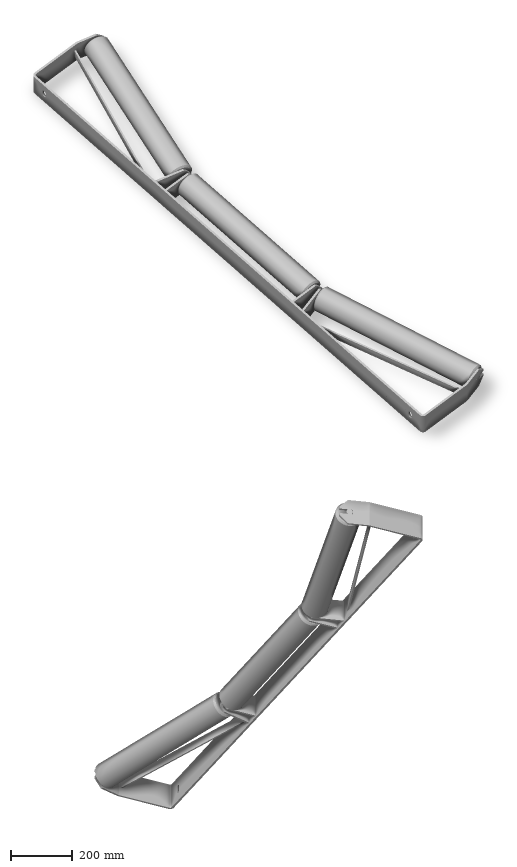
import cadquery as cq
import math


frame_length = 1890.0
strip_width = 89.0
sheet = 8.0
bend_radius = 13.0
tip_above_axis = 34.0
tip_chamfer = 28.0

trough_angle = 15.0
roller_diameter = 89.0
roller_length = 601.0
rim_chamfer = 5.0
end_gap = 2.8
shaft_diameter = 20.0
shaft_flats = 17.0
center_axis_y = 98.0
side_center_x = 627.0
side_center_y = 181.0

bracket_width = 75.0
bracket_top_y = 127.0
bracket_bend_radius = 10.0
bracket_chamfer = 19.0

brace_width = 30.0
brace_sheet = 5.0
brace_arm_y = 189.0
brace_foot_x = 391.0

mount_slot_x = 885.0
mount_slot_width = 17.0
mount_slot_height = 28.0

half_length = frame_length / 2
sine = math.sin(math.radians(trough_angle))
cosine = math.cos(math.radians(trough_angle))
seat_face = roller_length / 2 + end_gap
shaft_half = seat_face + sheet
shaft_radius = shaft_diameter / 2
seat_cut_length = 19.0
seat_cut_height = 95.0


def side_point(along, across):
    """Point given along and across the axis of the +X roller, measured from its middle."""
    x = side_center_x + along * cosine - across * sine
    y = side_center_y + along * sine + across * cosine
    return (x, y)


def mirrored(points):
    """The points mirrored across X = 0, in reverse order."""
    return [(-x, y) for x, y in reversed(points)]


def bent_strip(path, thickness, width, radius):
    """Strip with its outer face on the path, thickened to the left, with rounded bends."""
    headings = [math.atan2(b[1] - a[1], b[0] - a[0]) for a, b in zip(path, path[1:])]
    before = headings[:1] + headings
    after = headings + headings[-1:]
    inner = []
    for (x, y), heading_in, heading_out in zip(path, before, after):
        middle = (heading_in + heading_out) / 2
        reach = thickness / math.cos((heading_out - heading_in) / 2)
        inner.append((x - reach * math.sin(middle), y + reach * math.cos(middle)))
    outline = path + inner[::-1]
    strip = cq.Workplane("XY").polyline(outline).close().extrude(width / 2, both=True)
    for outer_bend, inner_bend in zip(path[1:-1], inner[1:-1]):
        for (x, y), bend in ((outer_bend, radius), (inner_bend, radius - thickness)):
            corner = cq.selectors.NearestToPointSelector((x, y, 0))
            strip = strip.edges("|Z").edges(corner).fillet(bend)
    return strip


def place_on_side_axis(shape):
    """Move a shape built about the origin along X onto the axis of the +X roller."""
    turned = shape.rotate((0, 0, 0), (0, 0, 1), trough_angle)
    return turned.translate((side_center_x, side_center_y, 0))


def shaft_slot(end):
    """Open slot that takes the shaft flats at one end (+1 or -1) of a roller along X."""
    slot = cq.Workplane("XY").box(
        seat_cut_length, seat_cut_height, shaft_flats, centered=(True, False, True)
    )
    return slot.translate((end * (seat_face + seat_cut_length / 2), -shaft_radius, 0))


def corner_cuts(x_start, length, top, width, chamfer):
    """Two prisms along X that chamfer the upper corners of a strip."""
    cuts = cq.Workplane("YZ")
    for side in (-1, 1):
        edge = side * width / 2
        cuts = cuts.polyline([(top, edge), (top - chamfer, edge), (top, edge - side * chamfer)]).close()
    return cuts.extrude(length).translate((x_start, 0, 0))


def brace():
    """Flat strip from the +X arm down to the base, cut flush with both of them."""
    rise = brace_arm_y - sheet
    run = half_length - brace_foot_x
    slope = math.atan2(rise, run)
    strip = (
        cq.Workplane("XY")
        .box(2 * math.hypot(run, rise), brace_sheet, brace_width)
        .rotate((0, 0, 0), (0, 0, 1), math.degrees(slope))
        .translate(((half_length + brace_foot_x) / 2, (brace_arm_y + sheet) / 2, 0))
    )
    clearance = cq.Workplane("XY").box(
        half_length, 2 * half_length, strip_width, centered=(False, False, True)
    )
    return strip.intersect(clearance.translate((0, sheet, 0)))


def frame(braces):
    tilted_tip = side_point(shaft_half, tip_above_axis)
    bend_rise = (half_length - tilted_tip[0]) / math.tan(math.radians(trough_angle))
    right_side = [(half_length, 0), (half_length, tilted_tip[1] - bend_rise), tilted_tip]
    body = bent_strip(mirrored(right_side) + right_side, sheet, strip_width, bend_radius)

    tip_cuts = corner_cuts(seat_face, seat_cut_length, tip_above_axis, strip_width, tip_chamfer)
    seat = place_on_side_axis(tip_cuts.union(shaft_slot(1)))
    body = body.cut(seat).cut(seat.mirror("YZ"))

    for strip in braces:
        body = body.cut(strip)

    mounts = (
        cq.Workplane("XZ")
        .pushPoints([(-mount_slot_x, 0), (mount_slot_x, 0)])
        .slot2D(mount_slot_height, mount_slot_width, 90)
        .extrude(-sheet)
    )
    return body.cut(mounts)


def bracket():
    """Folded strip between the middle roller and the +X roller."""
    def tilted_face(y):
        across = (y - side_center_y + seat_face * sine) / cosine
        return side_point(-seat_face, across)

    path = [tilted_face(0), tilted_face(bracket_top_y), (seat_face, bracket_top_y), (seat_face, 0)]
    body = bent_strip(path, sheet, bracket_width, bracket_bend_radius)

    base = cq.Workplane("XY").box(frame_length, 2 * sheet, strip_width)
    body = body.cut(base)

    fold_length = path[1][0] - seat_face
    body = body.cut(
        corner_cuts(seat_face, 2 * fold_length, bracket_top_y, bracket_width, bracket_chamfer)
    )
    body = body.cut(shaft_slot(1).translate((0, center_axis_y, 0)))
    return body.cut(place_on_side_axis(shaft_slot(-1)))


def cylinder_along_x(diameter, length):
    """Cylinder centred on the origin with its axis along X."""
    return cq.Workplane("YZ", origin=(-length / 2, 0, 0)).circle(diameter / 2).extrude(length)


def roller():
    """Roller along X, with flatted shaft ends reaching the outer faces of its seats."""
    tube = cylinder_along_x(roller_diameter, roller_length).faces("<X or >X").chamfer(rim_chamfer)
    flats = cq.Workplane("XY").box(2 * shaft_half, shaft_diameter, shaft_flats)
    shaft = cylinder_along_x(shaft_diameter, 2 * shaft_half).intersect(flats)
    return tube.union(shaft)


def mirrored_pair(body):
    """The +X body and its mirror image on the -X side."""
    return [body, body.mirror("YZ")]


braces = mirrored_pair(brace())
brackets = mirrored_pair(bracket())
side_rollers = mirrored_pair(place_on_side_axis(roller()))
center_roller = roller().translate((0, center_axis_y, 0))
bodies = [frame(braces), center_roller, *side_rollers, *brackets, *braces]

result = cq.Compound.makeCompound([body.solids().val() for body in bodies])